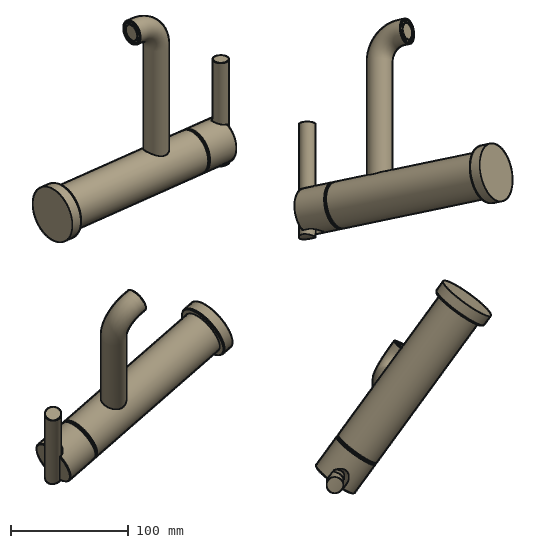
import cadquery as cq
import math

overall_length = 200.3
overall_height = 179.0

flange_diameter = 50.3
flange_thickness = 10.8
flange_chamfer = 1.2
flange_chamfer_inset = 0.6

body_diameter = 40.7
body_end_y = 161.3
joint_chamfer = 1.2
joint_groove_depth = 0.5

lever_diameter = 14.2
lever_top_z = 78.5
lever_bottom_z = -23.0
lever_top_chamfer = 0.5
seat_clearance = 0.8
seat_chamfer = 0.5
relief_angle = 19.0
hub_chamfer = 0.6
pivot_diameter = 10.0
pivot_depth = 12.0

spout_diameter = 22.2
spout_y = 119.2
bend_radius = 22.0
outlet_length = 6.0

aerator_diameter = 19.2
aerator_projection = 0.6
aerator_slot_count = 8
aerator_slot_width = 4.2
aerator_core_diameter = 14.5
aerator_slot_depth = 0.5

body_radius = body_diameter / 2
lever_radius = lever_diameter / 2
lever_y = overall_length - lever_radius
hub_end_y = lever_y
outlet_z = overall_height - flange_diameter / 2 - spout_diameter / 2
bend_start_z = outlet_z - bend_radius
outlet_end_y = spout_y - bend_radius - outlet_length
aerator_face_y = outlet_end_y - aerator_projection


def rod_along_y(diameter, start_y, end_y, z=0.0):
    """Cylinder on an axis parallel to Y."""
    return (
        cq.Workplane("XZ", origin=(0, start_y, z))
        .circle(diameter / 2)
        .extrude(start_y - end_y)
    )


def rod_along_z(diameter, y, bottom_z, top_z):
    """Cylinder on a vertical axis in the plane X = 0."""
    return cq.Workplane("XY", origin=(0, y, bottom_z)).circle(diameter / 2).extrude(top_z - bottom_z)


def make_flange():
    flange = rod_along_y(flange_diameter, 0, flange_thickness)
    return flange.faces(">Y").chamfer(flange_chamfer, flange_chamfer_inset)


def make_body():
    return rod_along_y(body_diameter, 0, body_end_y).faces(">Y").chamfer(joint_chamfer, joint_groove_depth)


def cut_lever_relief(hub):
    """Cut a vertical seat for the lever, widened below the axis so that the lever can tilt."""
    seat_diameter = lever_diameter + 2 * seat_clearance
    reach = body_diameter
    tilt = math.radians(relief_angle)
    seat = rod_along_z(seat_diameter, lever_y, -reach, reach).rotate((0, lever_y, 0), (0, lever_y, 1), 90)
    tilted_seat = rod_along_z(seat_diameter, lever_y, -reach, 0).rotate(
        (0, lever_y, 0), (1, lever_y, 0), -relief_angle
    )
    swept_wedge = (
        cq.Workplane("YZ")
        .moveTo(lever_y, 0)
        .lineTo(lever_y, -reach)
        .lineTo(lever_y - reach * math.sin(tilt), -reach * math.cos(tilt))
        .close()
        .extrude(seat_diameter / 2, both=True)
    )
    return hub.cut(seat).cut(tilted_seat).cut(swept_wedge)


def make_hub():
    hub = rod_along_y(body_diameter, body_end_y, hub_end_y)
    hub = hub.faces(">Y").chamfer(hub_chamfer).faces("<Y").chamfer(joint_chamfer, joint_groove_depth)
    hub = cut_lever_relief(hub)
    seat_mouth = cq.selectors.BoxSelector(
        (-lever_diameter, lever_y - lever_diameter, body_radius / 2),
        (lever_diameter, lever_y, body_radius + joint_chamfer),
        boundingbox=True,
    )
    return hub.edges(seat_mouth).chamfer(seat_chamfer)


def make_lever():
    """Round lever whose lower end follows a cylinder around the body axis."""
    lever = rod_along_z(lever_diameter, lever_y, 0, lever_top_z).faces(">Z").chamfer(lever_top_chamfer)
    lower = rod_along_z(lever_diameter, lever_y, lever_bottom_z, 0).intersect(
        rod_along_y(-2 * lever_bottom_z, lever_y - lever_diameter, lever_y + lever_diameter)
    )
    pivot = rod_along_y(pivot_diameter, lever_y - pivot_depth, lever_y)
    return lever.union(lower).union(pivot)


def make_spout():
    riser = rod_along_z(spout_diameter, spout_y, 0, bend_start_z)
    bend = (
        cq.Workplane("XY", origin=(0, spout_y, bend_start_z))
        .circle(spout_diameter / 2)
        .revolve(90, (-2, -bend_radius, 0), (2, -bend_radius, 0))
    )
    outlet = rod_along_y(spout_diameter, outlet_end_y, spout_y - bend_radius, outlet_z)
    aerator = rod_along_y(aerator_diameter, aerator_face_y, spout_y - bend_radius, outlet_z)
    return riser.union(bend).union(outlet).union(aerator)


def make_aerator_slots():
    """Ring of radial slots around the solid core of the aerator."""
    ring = rod_along_y(aerator_diameter, aerator_face_y, aerator_face_y + aerator_slot_depth, outlet_z)
    ring = ring.cut(
        rod_along_y(aerator_core_diameter, aerator_face_y, aerator_face_y + aerator_slot_depth, outlet_z)
    )
    bars = cq.Workplane("XY")
    for index in range(aerator_slot_count // 2):
        bar = cq.Workplane("XY", origin=(0, aerator_face_y + aerator_slot_depth / 2, outlet_z)).box(
            aerator_diameter, aerator_slot_depth, aerator_slot_width
        )
        angle = index * 360 / aerator_slot_count
        bars = bars.add(bar.rotate((0, 0, outlet_z), (0, 1, outlet_z), angle))
    return ring.intersect(bars.combine())


result = (
    make_flange()
    .union(make_body())
    .union(make_hub())
    .union(make_lever())
    .union(make_spout())
    .cut(make_aerator_slots())
)